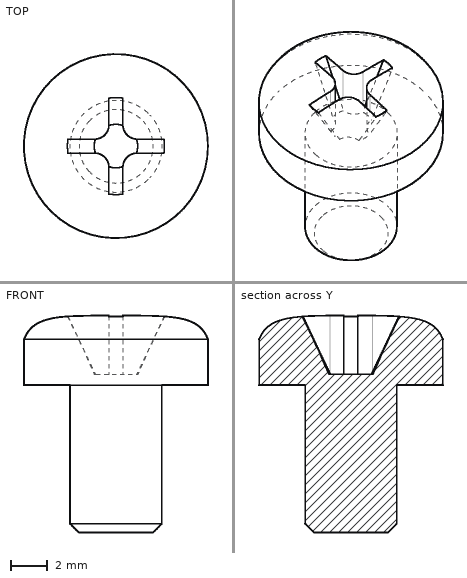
import cadquery as cq

shank_diameter = 5.0
shank_length = 8.0
tip_chamfer = 0.5

head_diameter = 10.0
head_side_height = 2.5
crown_apex_z = 11.79
rim_control_radius = 4.48
rim_control_z = 11.83
apex_control_radius = 3.07

arm_width = 0.75
arm_corner_radius = 0.78
recess_top_radius = 2.65
recess_floor_radius = 1.18
recess_depth = 3.18
cut_clearance = 0.12

head_radius = head_diameter / 2
rim_z = shank_length + head_side_height


def screw_body():
    crown_curve = [
        (head_radius, rim_z),
        (rim_control_radius, rim_control_z),
        (apex_control_radius, crown_apex_z),
        (0, crown_apex_z),
    ]
    shank_radius = shank_diameter / 2
    return (
        cq.Workplane("XZ")
        .lineTo(shank_radius - tip_chamfer, 0)
        .lineTo(shank_radius, tip_chamfer)
        .lineTo(shank_radius, shank_length)
        .lineTo(head_radius, shank_length)
        .lineTo(head_radius, rim_z)
        .bezier(crown_curve)
        .close()
        .revolve(360, (0, 0), (0, 1))
    )


def cross_recess():
    floor_z = crown_apex_z - recess_depth
    cutter_height = recess_depth + cut_clearance
    arm_length = 2 * head_radius
    floor_plane = cq.Workplane("XY", origin=(0, 0, floor_z))
    arms = floor_plane.rect(arm_length, arm_width).extrude(cutter_height)
    cross = arms.union(arms.rotate((0, 0, 0), (0, 0, 1), 90))
    inner_corners = cq.selectors.BoxSelector(
        (-arm_width, -arm_width, floor_z), (arm_width, arm_width, floor_z + cutter_height)
    )
    cross = cross.edges("|Z").edges(inner_corners).fillet(arm_corner_radius)
    taper = (
        cq.Workplane("XZ", origin=(0, 0, floor_z))
        .lineTo(recess_floor_radius, 0)
        .lineTo(recess_top_radius, recess_depth)
        .lineTo(recess_top_radius, cutter_height)
        .lineTo(0, cutter_height)
        .close()
        .revolve(360, (0, 0), (0, 1))
    )
    return cross.intersect(taper)


result = screw_body().cut(cross_recess())